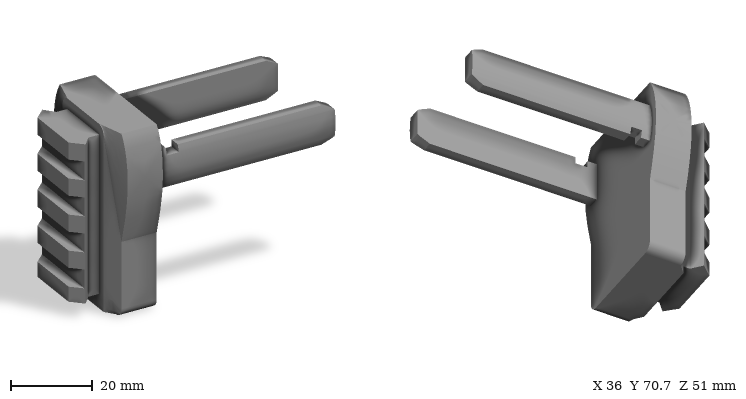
import cadquery as cq


total_depth = 70.65

slab_depth = 9.95
slab_height = 51.0
slab_half_width = 15.0
head_half_width = 18.0
head_bottom = 21.1
head_widest = 39.2
head_lower_slope = 0.28
head_upper_slope = -0.7
slab_corner_radius = 2.5

cap_depth = 2.1
cap_half_width = 9.95
cap_corner_rise = 8.05
cap_corner_radius = 2.5

prong_inner_x = 12.0
prong_bulge = 1.0
prong_height = 10.9
prong_center_z = 38.4
tip_chamfer_length = 3.45
tip_shoulder_length = 0.65
tip_shoulder_half = 4.1
tip_half_height = 3.7

notch_depth = 1.9
notch_start = 2.55
left_notch_length = 3.0
right_notch_length = 3.4

rail_depth = 8.55
rail_neck_half_width = 7.8
rail_half_width = 10.5
rail_front_half_width = 7.55
rail_neck_depth = 3.05
rail_widest_depth = 5.45
rail_recess_floor = 5.65
rail_top = 48.05
rail_bottom = 4.0
tooth_count = 5
tooth_pitch = 9.95
tooth_height = 4.7

prong_length = total_depth - slab_depth - cap_depth - rail_depth
prong_half_height = prong_height / 2
cap_front_y = -slab_depth - cap_depth


def slab_outline(workplane):
    """Closed outline of the slab: rounded lower corners, straight sides and a bulging head."""
    flat_half = slab_half_width - slab_corner_radius
    rise = (head_lower_slope, 1)
    crest = (head_upper_slope, 1)
    fall_start = (head_upper_slope, -1)
    fall_end = (head_lower_slope, -1)
    return (
        workplane.moveTo(-flat_half, 0)
        .lineTo(flat_half, 0)
        .radiusArc((slab_half_width, slab_corner_radius), -slab_corner_radius)
        .lineTo(slab_half_width, head_bottom)
        .spline(
            [(head_half_width, head_widest), (slab_half_width, slab_height)],
            tangents=[rise, crest],
            includeCurrent=True,
        )
        .lineTo(-slab_half_width, slab_height)
        .spline(
            [(-head_half_width, head_widest), (-slab_half_width, head_bottom)],
            tangents=[fall_start, fall_end],
            includeCurrent=True,
        )
        .lineTo(-slab_half_width, slab_corner_radius)
        .radiusArc((-flat_half, 0), -slab_corner_radius)
        .close()
    )


def notch(side, length):
    """Block that cuts across one prong: its lower edge on the left, its upper edge on the right."""
    center_x = side * (prong_inner_x + slab_half_width) / 2
    center_y = notch_start + length / 2
    edge_z = prong_center_z + side * prong_half_height
    width = 2 * (slab_half_width + prong_bulge - prong_inner_x)
    block = cq.Workplane("XY").box(width, length, 2 * notch_depth)
    return block.translate((center_x, center_y, edge_z))


def prong(side, notch_length):
    """Prong with a flat inner face, a curved outer face, a tapered tip and a locking notch."""
    low = prong_center_z - prong_half_height
    high = prong_center_z + prong_half_height
    inner_x = side * prong_inner_x
    edge_x = side * slab_half_width
    bulge_x = side * (slab_half_width + prong_bulge)
    bar = (
        cq.Workplane("XZ")
        .moveTo(inner_x, low)
        .lineTo(edge_x, low)
        .threePointArc((bulge_x, prong_center_z), (edge_x, high))
        .lineTo(inner_x, high)
        .close()
        .extrude(-prong_length)
    )
    upper_side = [
        (0, prong_half_height),
        (prong_length - tip_chamfer_length, prong_half_height),
        (prong_length - tip_shoulder_length, tip_shoulder_half),
        (prong_length, tip_half_height),
    ]
    lower_side = [(y, -z) for y, z in reversed(upper_side)]
    side_profile = (
        cq.Workplane("YZ")
        .center(0, prong_center_z)
        .polyline(upper_side + lower_side)
        .close()
        .extrude(head_half_width, both=True)
    )
    return bar.intersect(side_profile).cut(notch(side, notch_length))


def build_frame():
    slab = slab_outline(cq.Workplane("XZ")).extrude(slab_depth)
    left_prong = prong(-1, left_notch_length)
    right_prong = prong(1, right_notch_length)
    return slab.union(left_prong).union(right_prong)


def cap_front_outline(workplane):
    """Front outline, with one edge for each edge of the slab outline."""
    top_half = cap_half_width - cap_corner_radius
    shoulder_z = slab_height - cap_corner_radius
    return (
        workplane.moveTo(-cap_half_width, 0)
        .lineTo(cap_half_width, 0)
        .lineTo(cap_half_width, cap_corner_rise)
        .lineTo(cap_half_width, shoulder_z)
        .radiusArc((top_half, slab_height), -cap_corner_radius)
        .lineTo(-top_half, slab_height)
        .radiusArc((-cap_half_width, shoulder_z), -cap_corner_radius)
        .lineTo(-cap_half_width, cap_corner_rise)
        .close()
    )


def build_cap():
    rear = slab_outline(cq.Workplane("XZ", origin=(0, -slab_depth, 0))).val()
    front = cap_front_outline(cq.Workplane("XZ", origin=(0, cap_front_y, 0))).val()
    return cq.Solid.makeLoft([rear, front], True)


def rail_segment(top, length):
    right_side = [
        (rail_neck_half_width, 0),
        (rail_neck_half_width, -rail_neck_depth),
        (rail_half_width, -rail_widest_depth),
        (rail_front_half_width, -rail_depth),
    ]
    left_side = [(-x, y) for x, y in reversed(right_side)]
    segment = (
        cq.Workplane("XY", origin=(0, cap_front_y, top - length))
        .polyline(right_side + left_side)
        .close()
        .extrude(length)
    )
    recess_height = length - tooth_height
    if recess_height > 0:
        recess_depth = rail_depth - rail_recess_floor
        recess = cq.Workplane("XY").box(
            2 * rail_half_width, recess_depth, recess_height, centered=(True, False, False)
        )
        segment = segment.cut(recess.translate((0, cap_front_y - rail_depth, top - length)))
    return segment


def build_rail_segments():
    """Stack of segments from the top down; the lowest one is cut short at the rail's end."""
    segments = []
    for index in range(tooth_count):
        top = rail_top - index * tooth_pitch
        length = min(tooth_pitch, top - rail_bottom)
        segments.append(rail_segment(top, length))
    return segments


frame = build_frame()
cap = build_cap()
rail_segments = build_rail_segments()

result = cq.Compound.makeCompound([frame.val(), cap, *[segment.val() for segment in rail_segments]])